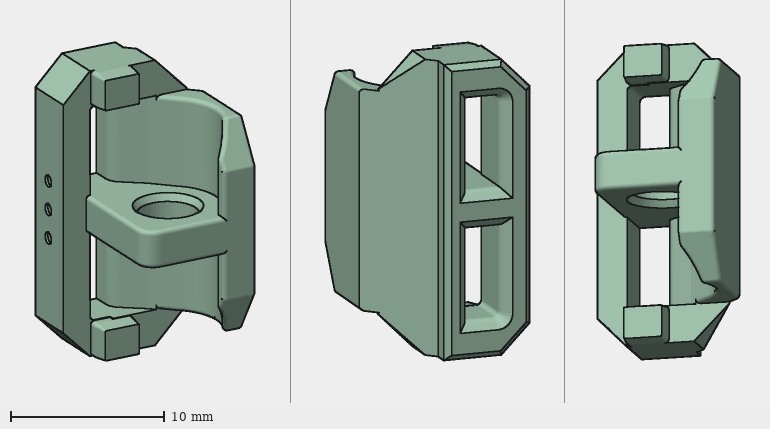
import cadquery as cq
import math

LENGTH_X = 12.0
DEPTH_Y = 10.0
HALF_HEIGHT = 10.0
OVERCUT = 1.0
TOLERANCE = 0.01

RAIL_REAR_X = 4.1
BLOCK_REAR_X = 4.5
SIDE_Y = 6.0
FLANK_START_X = 1.45
FLANK_NORMAL_ANGLE = math.radians(135)
FLANK_END_X = FLANK_START_X + DEPTH_Y - SIDE_Y
FRONT_BEVEL = 2.0
BACK_BEVEL_Y = 6.65
FACE_CHAMFER = 0.4

WALL_HALF_HEIGHT = 7.5
WALL_TIP_Y = 7.55
WALL_RAMP_X = 10.2
WALL_TIP_HALF_HEIGHT = 4.5
WALL_FILLET = 0.3
WALL_LIP_FILLET = 0.45
WALL_END_FILLET = 0.3

BORE_X = 8.25
BORE_Y = 5.5
BORE_DIAMETER = 4.05
BORE_CHAMFER = 0.3
BORE_CHAMFER_DEPTH = 0.5
WALL_INNER_RADIUS = 3.55
FLAT_WALL_THICKNESS = 1.63
LIP_X = BORE_X + math.sqrt(WALL_INNER_RADIUS**2 - (WALL_TIP_Y - BORE_Y) ** 2)

ARM_FRONT_Y = 1.7
ARM_THICKNESS = 2.6
ARM_CORNER_RADIUS = 1.2
ARM_FILLET = 0.3

WINDOW_FRONT_Y = 2.0
WINDOW_BACK_Y = 4.35
WINDOW_INNER_Z = ARM_THICKNESS / 2
WINDOW_CORNER_RADIUS = 0.35
WINDOW_CHAMFER = 0.66
WINDOW_FILLET = 0.8
POCKET_CORNER_X = 2.6
POCKET_FILLET = 1.2
POCKET_START_X = 1.8

BOSS_FRONT_Y = 2.05
BOSS_BACK_Y = 4.95
BOSS_INNER_Z = 7.55
BOSS_STRAIGHT_END_X = 4.55
BOSS_TIP_X = 5.72
BOSS_CORNER_RADIUS = 0.27
BOSS_TIP_INSET = 0.17

DIMPLE_DIAMETER = 0.8
DIMPLE_DEPTH = 0.2
DIMPLE_X = 2.1
DIMPLE_PITCH = 2.0


def flank_y(x):
    """Y of the slanted outer flank at a given X."""
    return SIDE_Y + x - FLANK_START_X


def inner_flat_y(x):
    """Y of the inner flat, parallel to the flank, at a given X."""
    return flank_y(x) - FLAT_WALL_THICKNESS * math.sqrt(2)


def arc_start():
    """Point where the inner flat meets the inner arc."""
    flat_distance = (inner_flat_y(BORE_X) - BORE_Y) * math.sqrt(0.5)
    angle = FLANK_NORMAL_ANGLE + math.acos(flat_distance / WALL_INNER_RADIUS)
    return (
        BORE_X + WALL_INNER_RADIUS * math.cos(angle),
        BORE_Y + WALL_INNER_RADIUS * math.sin(angle),
    )


def prism(outline, half_height):
    """Extrude an XY outline symmetrically about Z = 0."""
    return outline.extrude(half_height, both=True)


def make_block():
    """Plate and end blocks, bevelled at the corners and chamfered round the front face."""
    step_y = (BOSS_FRONT_Y + BOSS_BACK_Y) / 2
    plan = prism(
        cq.Workplane("XY").polyline([
            (0, 0),
            (RAIL_REAR_X, 0),
            (RAIL_REAR_X, step_y),
            (BLOCK_REAR_X, step_y),
            (BLOCK_REAR_X, flank_y(BLOCK_REAR_X)),
            (FLANK_START_X, SIDE_Y),
            (0, SIDE_Y),
        ]).close(),
        HALF_HEIGHT,
    )
    bevel_z = HALF_HEIGHT - FRONT_BEVEL
    back_z = HALF_HEIGHT - (DEPTH_Y - BACK_BEVEL_Y)
    side = cq.Workplane("YZ").polyline([
        (0, bevel_z),
        (FRONT_BEVEL, HALF_HEIGHT),
        (BACK_BEVEL_Y, HALF_HEIGHT),
        (DEPTH_Y, back_z),
        (DEPTH_Y, -back_z),
        (BACK_BEVEL_Y, -HALF_HEIGHT),
        (FRONT_BEVEL, -HALF_HEIGHT),
        (0, -bevel_z),
    ]).close().extrude(BLOCK_REAR_X)
    return plan.intersect(side).faces("<X").chamfer(FACE_CHAMFER)


def make_pocket():
    """Space behind the windows, bounded by the inner flat, open to the rear and split by a middle web."""
    rear_x = BLOCK_REAR_X + OVERCUT
    pocket = prism(
        cq.Workplane("XY").polyline([
            (POCKET_START_X, WINDOW_FRONT_Y),
            (rear_x, WINDOW_FRONT_Y),
            (rear_x, inner_flat_y(rear_x)),
            (RAIL_REAR_X, inner_flat_y(RAIL_REAR_X)),
            (POCKET_CORNER_X, WINDOW_BACK_Y),
            (POCKET_START_X, WINDOW_BACK_Y),
        ]).close(),
        WALL_HALF_HEIGHT,
    )
    rounded_edge = cq.selectors.NearestToPointSelector((POCKET_CORNER_X, WINDOW_BACK_Y, 0))
    pocket = pocket.edges("|Z").edges(rounded_edge).fillet(POCKET_FILLET)
    web = cq.Workplane("XY").box(LENGTH_X, DEPTH_Y, ARM_THICKNESS, centered=(False, False, True))
    front_corners = cq.selectors.BoxSelector(
        (0, WINDOW_FRONT_Y - TOLERANCE, -HALF_HEIGHT),
        (LENGTH_X, WINDOW_FRONT_Y + TOLERANCE, HALF_HEIGHT),
    )
    pocket = pocket.faces(">Z or <Z").edges("|X").edges(front_corners).fillet(WINDOW_CORNER_RADIUS)
    return pocket.cut(web)


def make_window():
    """Straight upper window opening, rounded at its outer front corner."""
    opening = (
        cq.Workplane("XY")
        .box(
            POCKET_START_X,
            WINDOW_BACK_Y - WINDOW_FRONT_Y,
            WALL_HALF_HEIGHT - WINDOW_INNER_Z,
            centered=False,
        )
        .translate((0, WINDOW_FRONT_Y, WINDOW_INNER_Z))
    )
    return opening.edges("|X and <Y and >Z").fillet(WINDOW_CORNER_RADIUS)


def cut_windows(block):
    """Cut both windows, then flare and round their mouths."""
    window = make_window()
    block = block.cut(window).cut(window.mirror("XY"))

    def mouth_edges(x):
        outer_z = WALL_HALF_HEIGHT + TOLERANCE
        return cq.selectors.BoxSelector(
            (x - TOLERANCE, WINDOW_FRONT_Y - TOLERANCE, -outer_z),
            (x + TOLERANCE, WINDOW_BACK_Y + TOLERANCE, outer_z),
            boundingbox=True,
        )

    block = block.edges(mouth_edges(0)).chamfer(WINDOW_CHAMFER)
    block = block.edges(mouth_edges(WINDOW_CHAMFER)).fillet(WINDOW_FILLET)
    return block.cut(make_pocket())


def is_wall_rim(edge):
    """True for the edges round the top and bottom of the wall, apart from its joint with the block."""
    box = edge.BoundingBox()
    upright = box.zmin < 0 < box.zmax
    at_joint = box.xmax < FLANK_END_X + TOLERANCE and box.ymax > arc_start()[1] + TOLERANCE
    at_block = box.xmax < BLOCK_REAR_X + TOLERANCE
    at_tip = box.xmin > LENGTH_X - TOLERANCE
    return not (upright or at_joint or at_block or at_tip)


def make_wall():
    """Guard wall wrapped round the bore, ramped down at its tip, with rounded rims."""
    wall = prism(
        cq.Workplane("XY")
        .moveTo(BLOCK_REAR_X, inner_flat_y(BLOCK_REAR_X))
        .lineTo(*arc_start())
        .threePointArc((BORE_X, BORE_Y + WALL_INNER_RADIUS), (LIP_X, WALL_TIP_Y))
        .lineTo(LENGTH_X, WALL_TIP_Y)
        .lineTo(LENGTH_X, DEPTH_Y)
        .lineTo(FLANK_END_X, DEPTH_Y)
        .lineTo(BLOCK_REAR_X, flank_y(BLOCK_REAR_X))
        .close(),
        WALL_HALF_HEIGHT,
    )
    lip_edge = cq.selectors.NearestToPointSelector((LIP_X, WALL_TIP_Y, 0))
    wall = wall.edges("|Z").edges(lip_edge).fillet(WALL_LIP_FILLET)
    wall = wall.faces(">X").edges("|Z").fillet(WALL_END_FILLET)
    elevation = cq.Workplane("XZ").polyline([
        (BLOCK_REAR_X, WALL_HALF_HEIGHT),
        (WALL_RAMP_X, WALL_HALF_HEIGHT),
        (LENGTH_X, WALL_TIP_HALF_HEIGHT),
        (LENGTH_X, -WALL_TIP_HALF_HEIGHT),
        (WALL_RAMP_X, -WALL_HALF_HEIGHT),
        (BLOCK_REAR_X, -WALL_HALF_HEIGHT),
    ]).close().extrude(-DEPTH_Y)
    wall = wall.intersect(elevation)
    return wall.edges().filter(is_wall_rim).fillet(WALL_FILLET)


def make_arm():
    """Flat arm with rounded rims; its back runs into the guard wall."""
    back_y = BORE_Y + WALL_INNER_RADIUS + WALL_FILLET
    arm = prism(
        cq.Workplane("XY").polyline([
            (RAIL_REAR_X, ARM_FRONT_Y),
            (LENGTH_X, ARM_FRONT_Y),
            (LENGTH_X, back_y),
            (BLOCK_REAR_X + back_y - flank_y(BLOCK_REAR_X), back_y),
            (RAIL_REAR_X, flank_y(RAIL_REAR_X)),
        ]).close(),
        ARM_THICKNESS / 2,
    )
    arm = arm.edges("|Z and >X and <Y").fillet(ARM_CORNER_RADIUS)
    return arm.faces("<Y").edges("|X").fillet(ARM_FILLET)


def make_bosses():
    """Locating bosses on both end blocks, straight at the root and tapered to the tip."""
    middle_y = (BOSS_FRONT_Y + BOSS_BACK_Y) / 2
    middle_z = (BOSS_INNER_Z + HALF_HEIGHT) / 2
    width = BOSS_BACK_Y - BOSS_FRONT_Y
    height = HALF_HEIGHT - BOSS_INNER_Z
    taper_length = BOSS_TIP_X - BOSS_STRAIGHT_END_X
    taper = math.degrees(math.atan(BOSS_TIP_INSET / taper_length))
    section = cq.Sketch().rect(width, height).vertices().fillet(BOSS_CORNER_RADIUS)

    def section_at(x):
        return cq.Workplane("YZ", origin=(x, middle_y, middle_z)).placeSketch(section)

    root = section_at(RAIL_REAR_X).extrude(BOSS_STRAIGHT_END_X - RAIL_REAR_X)
    tip = section_at(BOSS_STRAIGHT_END_X).extrude(taper_length, taper=taper)
    boss = root.union(tip)
    return boss.union(boss.mirror("XY"))


def make_bore():
    """Bore through the arm with a chamfer at both ends."""
    radius = BORE_DIAMETER / 2
    half = ARM_THICKNESS / 2
    profile = cq.Workplane("XZ").polyline([
        (0, -half),
        (radius + BORE_CHAMFER, -half),
        (radius, BORE_CHAMFER_DEPTH - half),
        (radius, half - BORE_CHAMFER_DEPTH),
        (radius + BORE_CHAMFER, half),
        (0, half),
    ]).close()
    return profile.revolve().translate((BORE_X, BORE_Y, 0))


def make_dimples():
    """Row of three shallow round dimples in the front side of the plate."""
    row = [(DIMPLE_X, step * DIMPLE_PITCH) for step in (-1, 0, 1)]
    return cq.Workplane("XZ").pushPoints(row).circle(DIMPLE_DIAMETER / 2).extrude(-DIMPLE_DEPTH)


block = cut_windows(make_block()).union(make_bosses())
bracket = block.union(make_wall()).union(make_arm())
result = bracket.cut(make_bore()).cut(make_dimples())